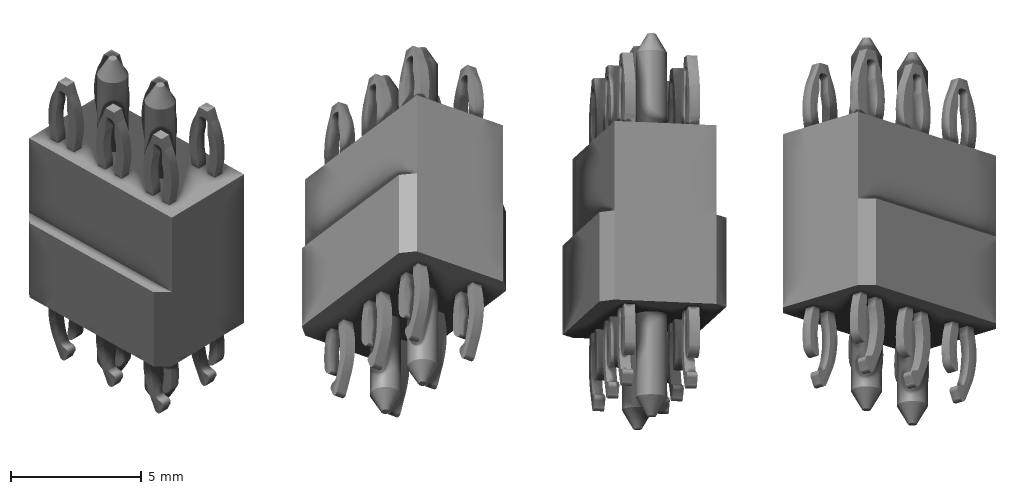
import cadquery as cq

body_length = 7.62
body_width = 4.0
body_height = 7.0
body_top = body_height / 2

skirt_width = 5.0
skirt_height = body_height / 2
skirt_chamfer = (skirt_width - body_width) / 2

pitch = 2.54

pin_diameter = 1.2
pin_length = 15.0
pin_tip_diameter = 0.33
pin_taper_height = 0.75

clip_thickness = 0.42
clip_root = 3.0
slot_half_width = 0.24
bow_half_width = 0.35
clip_half_width = 0.75
bow_height = 4.59
bow_half_span = 0.74
bow_start = bow_height - bow_half_span
bow_end = bow_height + bow_half_span
leg_half_width = 0.63
knee_height = 3.63
knee_mid = (0.65, 3.76)
shoulder_half_width = 0.69
shoulder_low = 3.93
shoulder_high = 5.16
flank_point = (0.57, 5.6)
nose_point = (0.39, 5.98)
clip_tip_half_width = 0.22
clip_top = 6.42
slot_top = 6.03
slot_corner_radius = 0.18

lower_leg_half_width = 0.57
lower_knee = (0.66, -3.85)
lower_shoulder = (shoulder_half_width, -3.99)
hook_nose = (-0.14, -6.51)
hook_bottom = (0, -6.6)
hook_heel = (0.18, -6.46)
hook_end_low = (0.28, -6.24)
hook_end = (0.3, -6.09)
hook_end_high = (0.18, -5.98)
hollow_start = (0.06, -5.97)
hollow_mid = (-0.03, -5.92)
hollow_end = (-0.09, -5.84)
inner_flank = (-0.21, -5.52)
inner_flank_end = (-0.28, -5.18)
toe_start = (0.72, -5.05)
toe_mid = (0.62, -5.3)
toe_bottom = (0.4, -5.46)
toe_corner = (0.32, -5.45)
toe_inner = (0.27, -5.37)
toe_inner_end = (0.28, -5.12)


def mirror_x(point):
    x, z = point
    return (-x, z)


def below(point):
    x, z = point
    return (x, -z)


def make_housing():
    core = cq.Workplane("XY").box(body_length, body_width, body_height)
    skirt = (
        cq.Workplane("XY")
        .box(body_length, skirt_width, skirt_height)
        .edges("|Z")
        .chamfer(skirt_chamfer)
        .translate((0, 0, (skirt_height - body_height) / 2))
    )
    return core.union(skirt)


def make_pin():
    end = pin_length / 2
    taper_start = end - pin_taper_height
    radius = pin_diameter / 2
    tip_radius = pin_tip_diameter / 2
    half_section = [
        (0, -end),
        (tip_radius, -end),
        (radius, -taper_start),
        (radius, taper_start),
        (tip_radius, end),
        (0, end),
    ]
    return cq.Workplane("XZ").polyline(half_section).close().revolve(360, (0, 0), (0, 1))


def extrude_clip(outline):
    return outline.close().extrude(clip_thickness / 2, both=True)


def make_upper_clip():
    """Closed loop: two bowed legs joined by a flat-topped nose."""
    knee = (leg_half_width, knee_height)
    low = (shoulder_half_width, shoulder_low)
    bow = (clip_half_width, bow_height)
    high = (shoulder_half_width, shoulder_high)
    tip = (clip_tip_half_width, clip_top)
    loop = extrude_clip(
        cq.Workplane("XZ")
        .moveTo(leg_half_width, clip_root)
        .lineTo(*knee)
        .threePointArc(knee_mid, low)
        .threePointArc(bow, high)
        .threePointArc(flank_point, nose_point)
        .lineTo(*tip)
        .lineTo(*mirror_x(tip))
        .lineTo(*mirror_x(nose_point))
        .threePointArc(mirror_x(flank_point), mirror_x(high))
        .threePointArc(mirror_x(bow), mirror_x(low))
        .threePointArc(mirror_x(knee_mid), mirror_x(knee))
        .lineTo(-leg_half_width, clip_root)
    )

    inner_bow = (bow_half_width, bow_height)
    inner_high = (slot_half_width, bow_end)
    inner_low = (slot_half_width, bow_start)
    slot = extrude_clip(
        cq.Workplane("XZ")
        .moveTo(slot_half_width, clip_root)
        .lineTo(*inner_low)
        .threePointArc(inner_bow, inner_high)
        .lineTo(slot_half_width, slot_top)
        .lineTo(-slot_half_width, slot_top)
        .lineTo(*mirror_x(inner_high))
        .threePointArc(mirror_x(inner_bow), mirror_x(inner_low))
        .lineTo(-slot_half_width, clip_root)
    )
    slot_corners = cq.selectors.BoxSelector(
        (-bow_half_width, -clip_thickness, slot_top - slot_corner_radius),
        (bow_half_width, clip_thickness, slot_top + slot_corner_radius),
    )
    slot = slot.edges("|Y").edges(slot_corners).fillet(slot_corner_radius)
    return loop.cut(slot)


def make_hook_arm():
    """Long lower leg on the -X side, ending in a rounded hook."""
    return extrude_clip(
        cq.Workplane("XZ")
        .moveTo(-lower_leg_half_width, -clip_root)
        .lineTo(-lower_leg_half_width, -body_top)
        .lineTo(*mirror_x(lower_knee))
        .lineTo(*mirror_x(lower_shoulder))
        .threePointArc((-clip_half_width, -bow_height), (-shoulder_half_width, -shoulder_high))
        .threePointArc(mirror_x(below(flank_point)), mirror_x(below(nose_point)))
        .lineTo(*hook_nose)
        .threePointArc(hook_bottom, hook_heel)
        .lineTo(*hook_end_low)
        .threePointArc(hook_end, hook_end_high)
        .lineTo(*hollow_start)
        .threePointArc(hollow_mid, hollow_end)
        .threePointArc(inner_flank, inner_flank_end)
        .threePointArc((-bow_half_width, -bow_height), (-slot_half_width, -bow_start))
        .lineTo(-slot_half_width, -clip_root)
    )


def make_short_arm():
    """Short lower leg on the +X side, ending in a rounded toe."""
    return extrude_clip(
        cq.Workplane("XZ")
        .moveTo(lower_leg_half_width, -clip_root)
        .lineTo(lower_leg_half_width, -body_top)
        .lineTo(*lower_knee)
        .lineTo(*lower_shoulder)
        .threePointArc((clip_half_width, -bow_height), toe_start)
        .threePointArc(toe_mid, toe_bottom)
        .threePointArc(toe_corner, toe_inner)
        .lineTo(*toe_inner_end)
        .threePointArc((bow_half_width, -bow_height), (slot_half_width, -bow_start))
        .lineTo(slot_half_width, -clip_root)
    )


def make_clip():
    return make_upper_clip().union(make_hook_arm()).union(make_short_arm())


result = make_housing()

pin = make_pin()
for side in (-1, 1):
    result = result.union(pin.translate((side * pitch / 2, 0, 0)))

clip = make_clip()
for column in (-1, 0, 1):
    for row in (-1, 1):
        result = result.union(clip.translate((column * pitch, row * pitch / 2, 0)))